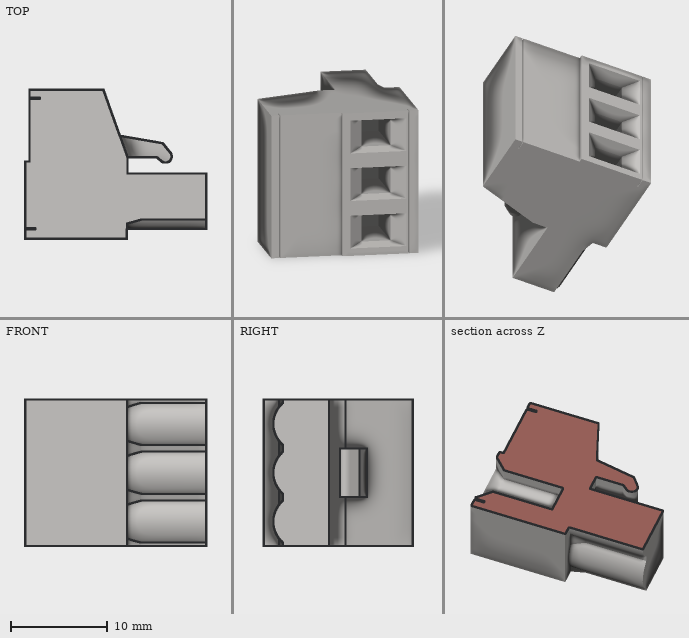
import cadquery as cq
import math


pole_count = 3
pitch = 5.08
height = pole_count * pitch
pole_centres = [(pole + 0.5) * pitch for pole in range(pole_count)]

length = 18.85
depth = 15.5
body_end = 10.58
shoulder_x = 10.65
step_depth = 0.45
step_y = 8.05
slope_start_x = 8.15
slope_end_y = 8.48

plug_top_y = 6.8
web_y = 2.0
ramp_root_y = 1.58
ramp_end_x = 12.1
lobe_y = 1.0
lobe_radius = 2.9

latch_width = pitch
latch_root_y = 10.72
latch_knee = (14.3, 9.95)
latch_heel = (13.67, slope_end_y)
latch_tip = (14.6, 8.56)
latch_tip_radius = 0.65

funnel_y_min = 1.3
funnel_y_size = 5.9
funnel_z_size = 3.5
funnel_y_inset = 1.4
funnel_z_inset = 0.35
funnel_depth = 1.4
entry_depth = 8.0

slit_width = 0.1
slit_depth = 1.05
slit_lower_y = 1.03
slit_upper_y = 14.6


def slope_x(y):
    """X of the sloped housing face at a given y."""
    run = shoulder_x - slope_start_x
    return slope_start_x + run * (depth - y) / (depth - slope_end_y)


def tangent_point(point, side):
    """Point where a line from `point` touches the latch tip; side is +1 or -1."""
    dx = point[0] - latch_tip[0]
    dy = point[1] - latch_tip[1]
    spread = math.acos(latch_tip_radius / math.hypot(dx, dy))
    angle = math.atan2(dy, dx) + side * spread
    return (
        latch_tip[0] + latch_tip_radius * math.cos(angle),
        latch_tip[1] + latch_tip_radius * math.sin(angle),
    )


def make_housing():
    """Housing and plug web as one full-height profile."""
    outline = [
        (0, 0),
        (body_end, 0),
        (body_end, ramp_root_y),
        (ramp_end_x, web_y),
        (length, web_y),
        (length, plug_top_y),
        (shoulder_x, plug_top_y),
        (shoulder_x, slope_end_y),
        (slope_start_x, depth),
        (step_depth, depth),
        (step_depth, step_y),
        (0, step_y),
    ]
    return cq.Workplane("XY").polyline(outline).close().extrude(height)


def make_lobe(centre_z):
    """Round segment along X that bulges out of the web towards -Y."""
    clip_y = (ramp_root_y + plug_top_y) / 2
    lobe = (
        cq.Workplane("YZ", origin=(body_end, 0, 0))
        .center(lobe_y + lobe_radius, centre_z)
        .circle(lobe_radius)
        .extrude(length - body_end)
    )
    keep = cq.Workplane("XY").box(length, clip_y, pitch, centered=(False, False, True))
    return lobe.intersect(keep.translate((0, 0, centre_z)))


def make_latch():
    """Hooked latch arm on the sloped face, centred in Z."""
    tip_upper = tangent_point(latch_knee, -1)
    tip_lower = tangent_point(latch_heel, 1)
    far_angle = -math.pi / 4
    tip_far = (
        latch_tip[0] + latch_tip_radius * math.cos(far_angle),
        latch_tip[1] + latch_tip_radius * math.sin(far_angle),
    )
    return (
        cq.Workplane("XY", origin=(0, 0, (height - latch_width) / 2))
        .moveTo(shoulder_x, slope_end_y)
        .lineTo(slope_x(latch_root_y), latch_root_y)
        .lineTo(*latch_knee)
        .lineTo(*tip_upper)
        .threePointArc(tip_far, tip_lower)
        .lineTo(*latch_heel)
        .close()
        .extrude(latch_width)
    )


def make_wire_entry(centre_z):
    """Tapered funnel that leads into a straight rectangular shaft."""
    centre_y = funnel_y_min + funnel_y_size / 2
    shaft_y_size = funnel_y_size - 2 * funnel_y_inset
    shaft_z_size = funnel_z_size - 2 * funnel_z_inset
    funnel = (
        cq.Workplane("YZ", origin=(0, centre_y, centre_z))
        .rect(funnel_y_size, funnel_z_size)
        .workplane(offset=funnel_depth)
        .rect(shaft_y_size, shaft_z_size)
        .loft(ruled=True)
    )
    shaft = (
        cq.Workplane("YZ", origin=(funnel_depth, centre_y, centre_z))
        .rect(shaft_y_size, shaft_z_size)
        .extrude(entry_depth - funnel_depth)
    )
    return funnel.union(shaft)


def make_slit(face_x, centre_y):
    """Thin full-height slit cut into the wire face at face_x."""
    slit = cq.Workplane("XY").box(slit_depth, slit_width, height, centered=(False, True, False))
    return slit.translate((face_x, centre_y, 0))


result = make_housing().union(make_latch())
for pole_z in pole_centres:
    result = result.union(make_lobe(pole_z))
for pole_z in pole_centres:
    result = result.cut(make_wire_entry(pole_z))
result = result.cut(make_slit(0, slit_lower_y))
result = result.cut(make_slit(step_depth, slit_upper_y))